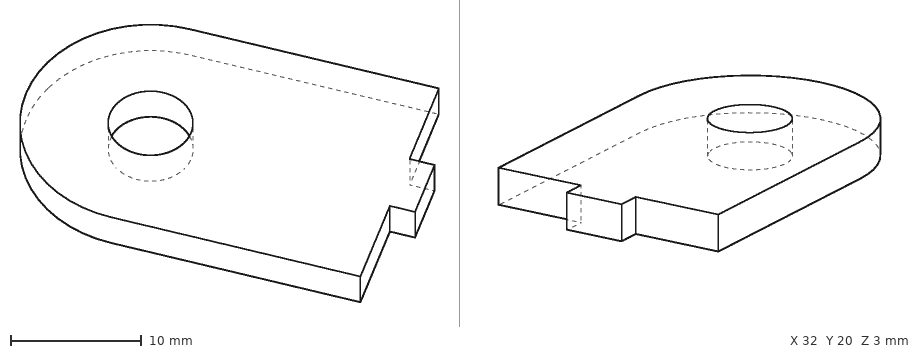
import cadquery as cq

total_length = 32.0
width = 20.0
thickness = 3.0
hole_diameter = 6.5
tab_length = 2.0
tab_width = 5.0

end_radius = width / 2
tab_end_x = total_length - end_radius
shoulder_x = tab_end_x - tab_length
half_tab = tab_width / 2

plate = (
    cq.Workplane("XY")
    .moveTo(0, -end_radius)
    .lineTo(shoulder_x, -end_radius)
    .lineTo(shoulder_x, -half_tab)
    .lineTo(tab_end_x, -half_tab)
    .lineTo(tab_end_x, half_tab)
    .lineTo(shoulder_x, half_tab)
    .lineTo(shoulder_x, end_radius)
    .lineTo(0, end_radius)
    .threePointArc((-end_radius, 0), (0, -end_radius))
    .close()
    .extrude(thickness)
)

hole = cq.Workplane("XY").circle(hole_diameter / 2).extrude(thickness)

result = plate.cut(hole)